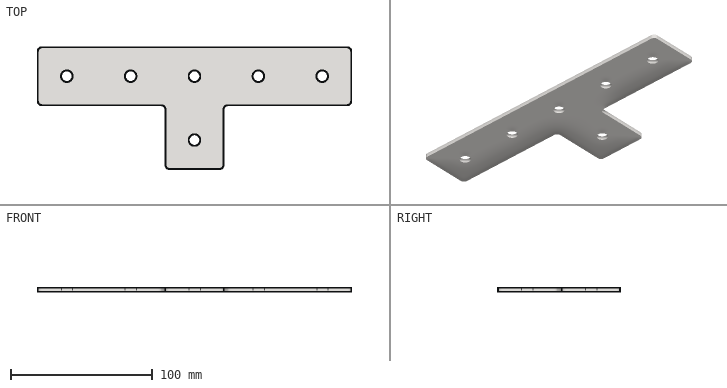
import cadquery as cq

hole_pitch = 45.0
arm_width = 41.0
thickness = 3.0
hole_diameter = 8.0
corner_radius = 3.0
holes_per_side = 2

edge_margin = arm_width / 2
bar_length = 2 * holes_per_side * hole_pitch + arm_width
stem_end_y = -hole_pitch - edge_margin


def plate_blank():
    """T outline with every convex and concave corner rounded alike."""
    bar = cq.Workplane("XY").box(bar_length, arm_width, thickness, centered=(True, True, False))
    stem_length = edge_margin - stem_end_y
    stem = (
        cq.Workplane("XY")
        .center(0, (edge_margin + stem_end_y) / 2)
        .box(arm_width, stem_length, thickness, centered=(True, True, False))
    )
    return bar.union(stem).clean().edges("|Z").fillet(corner_radius)


def hole_centers():
    """A row of holes along the bar and one hole in the stem."""
    bar_holes = [(i * hole_pitch, 0) for i in range(-holes_per_side, holes_per_side + 1)]
    stem_hole = (0, -hole_pitch)
    return bar_holes + [stem_hole]


def drill_holes(plate):
    return (
        plate.faces(">Z")
        .workplane(origin=(0, 0, thickness))
        .pushPoints(hole_centers())
        .hole(hole_diameter)
    )


result = drill_holes(plate_blank())